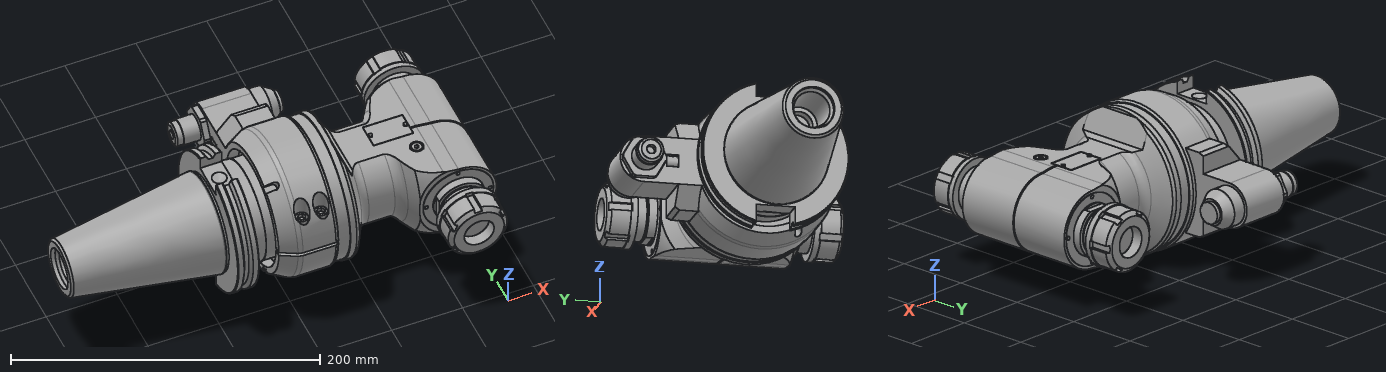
import cadquery as cq
import math


HUB_START = 41.5
HUB_RADIUS = 40.0
RING_START = 33.6
RING_END = 73.4
PIN_Y = 80.5
PIN_BORE_RADIUS = 9.0
SPINDLE_X = 160.0
SPINDLE_RADIUS = 16.0
HEAD_HALF_WIDTH = 45.0


def revolve_about_x(points):
    """Solid of revolution about the X axis from (x, radius) points, closed along the axis."""
    outline = [(points[0][0], 0)] + points
    if points[-1][1] > 0:
        outline.append((points[-1][0], 0))
    return cq.Workplane("XY").polyline(outline).close().revolve(360, (0, 0, 0), (1, 0, 0))


def cylinder(start, direction, radius, length):
    """Solid cylinder from its start point along a direction."""
    return cq.Workplane(cq.Solid.makeCylinder(radius, length, cq.Vector(*start), cq.Vector(*direction)))


def box(x_range, y_range, z_range):
    """Block between the given limits."""
    size = [high - low for low, high in (x_range, y_range, z_range)]
    return cq.Workplane("XY").box(*size, centered=False).translate((x_range[0], y_range[0], z_range[0]))


TAPER_LENGTH = 101.75
TAPER_RADIUS = 69.85 / 2
TAPER_SLOPE = 7 / 48
TAPER_END_CHAMFER = 1.5
RELIEF_RADIUS = 34.3
RELIEF_START = 1.2
FLANGE_START = 3.0
FLANGE_END = 18.2
FLANGE_RADIUS = 48.75
FLANGE_CHAMFER = 0.6
GROOVE_TOP = (7.3, 13.8)
GROOVE_FLOOR = (9.0, 12.1)
GROOVE_RADIUS = 45.7
SHANK_RADIUS = 35.0
COLLAR_START = 29.0
COLLAR_RADIUS = 34.6
NOTCH_HALF_WIDTH = 12.85
TOP_NOTCH_FLOOR = 38.0
BOTTOM_NOTCH_FLOOR = 35.2
DIMPLE_X = 11.0
DIMPLE_RADIUS = 5.0
DIMPLE_DEPTH = 3.0
DRAWBAR_BORE = [(14.0, 0.0), (14.0, 3.0), (12.0, 5.0), (12.0, 40.0), (9.0, 40.0), (9.0, 48.0),
                (5.0, 48.0), (5.0, 60.0), (0.0, 63.0)]


def make_arbor():
    small_radius = TAPER_RADIUS - TAPER_LENGTH * TAPER_SLOPE
    chamfer_end = -TAPER_LENGTH + TAPER_END_CHAMFER
    arbor = revolve_about_x([
        (-TAPER_LENGTH, small_radius - TAPER_END_CHAMFER),
        (chamfer_end, small_radius + TAPER_END_CHAMFER * TAPER_SLOPE),
        (0, TAPER_RADIUS),
        (RELIEF_START, TAPER_RADIUS),
        (RELIEF_START, RELIEF_RADIUS),
        (FLANGE_START, RELIEF_RADIUS),
        (FLANGE_START, FLANGE_RADIUS - FLANGE_CHAMFER),
        (FLANGE_START + FLANGE_CHAMFER, FLANGE_RADIUS),
        (GROOVE_TOP[0], FLANGE_RADIUS),
        (GROOVE_FLOOR[0], GROOVE_RADIUS),
        (GROOVE_FLOOR[1], GROOVE_RADIUS),
        (GROOVE_TOP[1], FLANGE_RADIUS),
        (FLANGE_END - FLANGE_CHAMFER, FLANGE_RADIUS),
        (FLANGE_END, FLANGE_RADIUS - FLANGE_CHAMFER),
        (FLANGE_END, SHANK_RADIUS),
        (COLLAR_START, SHANK_RADIUS),
        (COLLAR_START, COLLAR_RADIUS),
        (HUB_START, COLLAR_RADIUS),
    ])
    arbor = arbor.cut(revolve_about_x([(-TAPER_LENGTH + depth, radius) for radius, depth in DRAWBAR_BORE]))
    notch_x = (FLANGE_START, FLANGE_END)
    notch_y = (-NOTCH_HALF_WIDTH, NOTCH_HALF_WIDTH)
    arbor = arbor.cut(box(notch_x, notch_y, (TOP_NOTCH_FLOOR, FLANGE_RADIUS)))
    arbor = arbor.cut(box(notch_x, notch_y, (-FLANGE_RADIUS, -BOTTOM_NOTCH_FLOOR)))
    dimple = cq.Solid.makeCone(
        0, DIMPLE_RADIUS, DIMPLE_DEPTH, cq.Vector(DIMPLE_X, 0, TOP_NOTCH_FLOOR - DIMPLE_DEPTH), cq.Vector(0, 0, 1)
    )
    return arbor.cut(cq.Workplane(dimple))


RING_RADIUS = 51.0
RING_FRONT_RADIUS = 44.6
CONE_END = (44.5, 50.2)
CYLINDER_START = 47.8
CYLINDER_END = 71.2
RING_BACK_RADIUS = 49.9
ARM_END = 68.5
ARM_HALF_HEIGHT = 15.5
WING_OUTER_Y = 57.2
WING_HALF_HEIGHT = 29.4
WING_SLOPE_END = 45.5
WING_CHAMFER_Y = 3.5
WING_CHAMFER_Z = 1.5
ROD_RADIUS = 4.0
ROD_Y = (45.0, 65.0)
SLIT_HALF_WIDTH = 1.3
SCREW_X = (51.3, 64.8)
SCREW_Y = -41.0
SCREW_HOLE_RADIUS = 5.2
SCREW_FLOOR_Z = 19.0
SCREW_HEAD_RADIUS = 4.2
SCREW_HEAD_Z = 24.0
SCREW_SHANK_RADIUS = 3.0
SCREW_SOCKET = 5.8
SCREW_SOCKET_DEPTH = 3.0
KEYWAY_ANGLE = 30
KEYWAY_RADIUS = 2.5
KEYWAY_X = 39.8
KEYWAY_FLOOR = 42.0


def make_wings():
    """Block behind the arm: its front slopes away above and below the arm."""
    outline = [(RING_START, ARM_HALF_HEIGHT), (WING_SLOPE_END, WING_HALF_HEIGHT), (ARM_END, WING_HALF_HEIGHT)]
    mirrored = [(x, -z) for x, z in reversed(outline)]
    block = cq.Workplane("XZ").polyline(outline + mirrored).close().extrude(-WING_OUTER_Y)
    edge_y = WING_OUTER_Y - WING_CHAMFER_Y
    edge_z = WING_HALF_HEIGHT - WING_CHAMFER_Z
    section = cq.Workplane("YZ", origin=(RING_START, 0, 0)).polyline([
        (0, -WING_HALF_HEIGHT), (edge_y, -WING_HALF_HEIGHT), (WING_OUTER_Y, -edge_z),
        (WING_OUTER_Y, edge_z), (edge_y, WING_HALF_HEIGHT), (0, WING_HALF_HEIGHT),
    ]).close().extrude(ARM_END - RING_START)
    return block.intersect(section)


def make_arm():
    arm_x = (RING_START, ARM_END)
    arm = box(arm_x, (0, PIN_Y), (-ARM_HALF_HEIGHT, ARM_HALF_HEIGHT))
    arm = arm.union(cylinder((RING_START, PIN_Y, 0), (1, 0, 0), ARM_HALF_HEIGHT, ARM_END - RING_START))
    arm = arm.cut(cylinder((RING_START, PIN_Y, 0), (1, 0, 0), PIN_BORE_RADIUS, ARM_END - RING_START))
    rod_x = RING_START + ROD_RADIUS
    arm = arm.cut(box((RING_START, rod_x), ROD_Y, (-ROD_RADIUS, ROD_RADIUS)))
    return arm.union(cylinder((rod_x, ROD_Y[0], 0), (0, 1, 0), ROD_RADIUS, ROD_Y[1] - ROD_Y[0]))


def cut_keyway(ring, angle):
    """Round-ended slot sunk radially into the front cone."""
    depth = RING_RADIUS - KEYWAY_FLOOR
    slot = cylinder((KEYWAY_X, 0, KEYWAY_FLOOR), (0, 0, 1), KEYWAY_RADIUS, depth)
    slot = slot.union(box((RING_START, KEYWAY_X), (-KEYWAY_RADIUS, KEYWAY_RADIUS), (KEYWAY_FLOOR, RING_RADIUS)))
    return ring.cut(slot.rotate((0, 0, 0), (1, 0, 0), angle))


def add_clamp_screw(ring, x):
    """Counterbore for a clamp screw, with the screw head and the shank across the slit."""
    ring = ring.cut(cylinder((x, SCREW_Y, SCREW_FLOOR_Z), (0, 0, 1), SCREW_HOLE_RADIUS, RING_RADIUS))
    head = cylinder((x, SCREW_Y, SCREW_FLOOR_Z), (0, 0, 1), SCREW_HEAD_RADIUS, SCREW_HEAD_Z - SCREW_FLOOR_Z)
    socket = cq.Workplane("XY", origin=(x, SCREW_Y, SCREW_HEAD_Z)).polygon(6, SCREW_SOCKET)
    head = head.cut(socket.extrude(-SCREW_SOCKET_DEPTH))
    shank_start = (x, SCREW_Y - SCREW_SHANK_RADIUS, -SLIT_HALF_WIDTH)
    shank = cylinder(shank_start, (0, 0, 1), SCREW_SHANK_RADIUS, 2 * SLIT_HALF_WIDTH)
    return ring.union(head).union(shank)


def make_clamp_ring():
    ring = revolve_about_x([
        (RING_START, RING_FRONT_RADIUS), CONE_END, (CYLINDER_START, RING_RADIUS), (CYLINDER_END, RING_RADIUS),
        (RING_END, RING_BACK_RADIUS),
    ])
    ring = ring.union(make_wings()).union(make_arm())
    ring = ring.cut(cylinder((RING_START, 0, 0), (1, 0, 0), HUB_RADIUS, RING_END - RING_START))
    for angle in (KEYWAY_ANGLE, 180 - KEYWAY_ANGLE):
        ring = cut_keyway(ring, angle)
    slit_z = (-SLIT_HALF_WIDTH, SLIT_HALF_WIDTH)
    ring = ring.cut(box((RING_START, RING_END), (-RING_RADIUS, -HUB_RADIUS + 1), slit_z))
    for x in SCREW_X:
        ring = add_clamp_screw(ring, x)
    return ring


PIN_TIP_X = 12.2
PIN_TIP_RADIUS = 6.5
PIN_SHOULDER_RADIUS = 8.4
PIN_SHOULDER_X = 13.2
PIN_NECK_X = 17.4
HEX_START = 29.2
HEX_ACROSS_FLATS = 26.0
HEX_CORNER_RADIUS = 14.4
CAP_RADIUS = 13.5
CAP_CONE_START = 78.0
CAP_CONE_END = (85.2, 9.0)
CAP_TIP = (88.0, 7.5)
PIN_SOCKET_RADIUS = 3.0
PIN_SOCKET_DEPTH = 4.0


def make_locating_pin():
    pin = revolve_about_x([
        (PIN_TIP_X, PIN_TIP_RADIUS),
        (PIN_SHOULDER_X, PIN_SHOULDER_RADIUS),
        (PIN_NECK_X, PIN_SHOULDER_RADIUS),
        (PIN_NECK_X, PIN_BORE_RADIUS),
        (ARM_END, PIN_BORE_RADIUS),
        (ARM_END, CAP_RADIUS),
        (CAP_CONE_START, CAP_RADIUS),
        CAP_CONE_END,
        (CAP_CONE_END[0], CAP_TIP[1]),
        CAP_TIP,
    ])
    hex_length = RING_START - HEX_START
    across_corners = HEX_ACROSS_FLATS / math.cos(math.pi / 6)
    hexagon = cq.Workplane("YZ", origin=(HEX_START, 0, 0)).polygon(6, across_corners).extrude(hex_length)
    hexagon = hexagon.intersect(cylinder((HEX_START, 0, 0), (1, 0, 0), HEX_CORNER_RADIUS, hex_length))
    pin = pin.union(hexagon)
    pin = pin.cut(cylinder((PIN_TIP_X, 0, 0), (1, 0, 0), PIN_SOCKET_RADIUS, PIN_SOCKET_DEPTH))
    return pin.translate((0, PIN_Y, 0))


HUB_FLANGE_RADIUS = 49.2
RIM_START = 81.8
RIM_RADIUS = 50.2
RIM_END = 86.2
SHOULDER = (88.6, 49.0)
NECK_CONE_END = (95.5, 36.2)
NECK_ARC_MID = (98.0, 33.3)
NECK_START = 102.5
NECK_RADIUS = 32.0
NECK_END = 120.8
FLARE_ARC_MID = (124.7, 33.7)
FLARE_CONE_START = (127.6, 37.3)
FLARE_CONE_END = (133.2, 45.8)
CROWN_MID = (138.0, 48.9)
CROWN_END = (152.0, 53.0)
HEAD_HALF_HEIGHT = 28.4
HEAD_END_RADIUS = 26.95
FLAT_SLOPE_START = (86.0, 48.0)
FLAT_SLOPE_END = (93.0, 31.0)
FLAT_START = 96.3
FLAT_END = 149.5
PLATE_X = (117.6, 145.6)
PLATE_Y = (-5.0, 12.6)
PLATE_DEPTH = 0.3
RIVET_X = (119.2, 143.8)
RIVET_Y = 3.8
RIVET_RADIUS = 1.3
RIVET_HEIGHT = 0.7
PLUG_CENTER = (142.8, -17.0)
PLUG_HOLE_RADIUS = 4.5
PLUG_RADIUS = 3.6
PLUG_DEPTH = 5.0
PLUG_SOCKET = 3.0
MARK_WIDTH = 0.6
MARK_DEPTH = 0.4
FACE_RECESS_RADIUS = 24.8
FACE_RECESS_DEPTH = 0.3
FACE_HOLE_CIRCLE = 22.5
FACE_HOLE_RADIUS = 1.25
FACE_HOLE_DEPTH = 4.0


def head_side_outline(inset):
    """Closed X-Z outline of the head: sloped shoulders, flats and a round end, shrunk by an inset."""
    top = HEAD_HALF_HEIGHT - inset
    end_radius = HEAD_END_RADIUS - inset
    return (
        cq.Workplane("XZ")
        .moveTo(HUB_START, -RIM_RADIUS)
        .lineTo(HUB_START, RIM_RADIUS)
        .lineTo(FLAT_SLOPE_START[0], RIM_RADIUS)
        .lineTo(*FLAT_SLOPE_START)
        .lineTo(*FLAT_SLOPE_END)
        .lineTo(FLAT_START, top)
        .lineTo(FLAT_END, top)
        .lineTo(SPINDLE_X, end_radius)
        .threePointArc((SPINDLE_X + end_radius, 0), (SPINDLE_X, -end_radius))
        .lineTo(FLAT_END, -top)
        .lineTo(FLAT_START, -top)
        .lineTo(FLAT_SLOPE_END[0], -FLAT_SLOPE_END[1])
        .lineTo(FLAT_SLOPE_START[0], -FLAT_SLOPE_START[1])
        .lineTo(FLAT_SLOPE_START[0], -RIM_RADIUS)
        .close()
    )


def make_head_blank():
    """Turned contour of the head, trimmed to its side outline and its spindle faces."""
    end_x = SPINDLE_X + HEAD_END_RADIUS
    turned = (
        cq.Workplane("XY")
        .moveTo(HUB_START, 0)
        .lineTo(HUB_START, HUB_RADIUS)
        .lineTo(RING_END, HUB_RADIUS)
        .lineTo(RING_END, HUB_FLANGE_RADIUS)
        .lineTo(RIM_START, HUB_FLANGE_RADIUS)
        .lineTo(RIM_START, RIM_RADIUS)
        .lineTo(RIM_END, RIM_RADIUS)
        .lineTo(*SHOULDER)
        .lineTo(*NECK_CONE_END)
        .threePointArc(NECK_ARC_MID, (NECK_START, NECK_RADIUS))
        .lineTo(NECK_END, NECK_RADIUS)
        .threePointArc(FLARE_ARC_MID, FLARE_CONE_START)
        .lineTo(*FLARE_CONE_END)
        .threePointArc(CROWN_MID, CROWN_END)
        .lineTo(end_x, CROWN_END[1])
        .lineTo(end_x, 0)
        .close()
        .revolve(360, (0, 0, 0), (1, 0, 0))
    )
    side = head_side_outline(0).extrude(RIM_RADIUS, both=True)
    head = turned.intersect(side)
    for y in (HEAD_HALF_WIDTH, -HEAD_HALF_WIDTH - RIM_RADIUS):
        head = head.cut(box((NECK_END, end_x), (y, y + RIM_RADIUS), (-RIM_RADIUS, RIM_RADIUS)))
    return head


def add_name_plate(head):
    """Sunk name plate on the upper flat with two rivets."""
    floor = HEAD_HALF_HEIGHT - PLATE_DEPTH
    head = head.cut(box(PLATE_X, PLATE_Y, (floor, HEAD_HALF_HEIGHT)))
    for x in RIVET_X:
        head = head.union(cylinder((x, RIVET_Y, floor), (0, 0, 1), RIVET_RADIUS, PLATE_DEPTH + RIVET_HEIGHT))
    return head


def add_plug(head):
    """Screw plug in the upper flat, standing in a wider hole."""
    floor = (*PLUG_CENTER, HEAD_HALF_HEIGHT - PLUG_DEPTH)
    head = head.cut(cylinder(floor, (0, 0, 1), PLUG_HOLE_RADIUS, PLUG_DEPTH))
    plug = cylinder(floor, (0, 0, 1), PLUG_RADIUS, PLUG_DEPTH)
    socket = cq.Workplane("XY", origin=floor).polygon(6, PLUG_SOCKET).extrude(PLUG_DEPTH)
    return head.union(plug.cut(socket))


def cut_spindle_face(head, side):
    """Shallow round recess and four small holes in the face at one end of the spindle."""
    direction = (0, -side, 0)
    face_y = side * HEAD_HALF_WIDTH
    head = head.cut(cylinder((SPINDLE_X, face_y, 0), direction, FACE_RECESS_RADIUS, FACE_RECESS_DEPTH))
    for index in range(4):
        angle = index * math.pi / 2
        x = SPINDLE_X + FACE_HOLE_CIRCLE * math.cos(angle)
        z = FACE_HOLE_CIRCLE * math.sin(angle)
        head = head.cut(cylinder((x, face_y, z), direction, FACE_HOLE_RADIUS, FACE_HOLE_DEPTH))
    return head


def make_head():
    head = make_head_blank()
    mark = head_side_outline(0).extrude(MARK_WIDTH / 2, both=True)
    mark = mark.cut(head_side_outline(MARK_DEPTH).extrude(MARK_WIDTH / 2, both=True))
    mark_x = (PLATE_X[1], SPINDLE_X + HEAD_END_RADIUS)
    mark_zone = box(mark_x, (-MARK_WIDTH, MARK_WIDTH), (-RIM_RADIUS, RIM_RADIUS))
    head = head.cut(mark.intersect(mark_zone))
    head = add_name_plate(head)
    head = add_plug(head)
    for side in (1, -1):
        head = cut_spindle_face(head, side)
    bore_start = (SPINDLE_X, -HEAD_HALF_WIDTH, 0)
    return head.cut(cylinder(bore_start, (0, 1, 0), SPINDLE_RADIUS, 2 * HEAD_HALF_WIDTH))


COLLAR_END = 50.8
SPINDLE_COLLAR_RADIUS = 18.0
WRENCH_FLAT_START = 46.0
NOSE_GROOVE_END = 51.6
NOSE_GROOVE_RADIUS = 15.5
NUT_START = 58.8
NUT_RIM_END = 63.3
NUT_RIM_RADIUS = 21.4
NUT_RADIUS = 20.8
NUT_END = 78.75
NUT_CHAMFER_START = 76.2
NUT_FACE_RADIUS = 17.6
NUT_BORE_RADIUS = 10.5
NUT_BORE_DEPTH = 8.0
NUT_SLOT_COUNT = 6
NUT_SLOT_HALF_WIDTH = 2.5
NUT_SLOT_START = 62.5
NUT_SLOT_FLOOR = 18.6


def make_spindle_end():
    """Half of the spindle, built along +X from the middle of the head."""
    end = revolve_about_x([
        (0, SPINDLE_RADIUS),
        (HEAD_HALF_WIDTH, SPINDLE_RADIUS),
        (HEAD_HALF_WIDTH, SPINDLE_COLLAR_RADIUS),
        (COLLAR_END, SPINDLE_COLLAR_RADIUS),
        (COLLAR_END, NOSE_GROOVE_RADIUS),
        (NOSE_GROOVE_END, NOSE_GROOVE_RADIUS),
        (NOSE_GROOVE_END, SPINDLE_RADIUS),
        (NUT_START, SPINDLE_RADIUS),
        (NUT_START, NUT_RIM_RADIUS),
        (NUT_RIM_END, NUT_RIM_RADIUS),
        (NUT_RIM_END, NUT_RADIUS),
        (NUT_CHAMFER_START, NUT_RADIUS),
        (NUT_END, NUT_FACE_RADIUS),
    ])
    end = end.cut(cylinder((NUT_END, 0, 0), (-1, 0, 0), NUT_BORE_RADIUS, NUT_BORE_DEPTH))
    flat_x = (WRENCH_FLAT_START, COLLAR_END)
    span = (-SPINDLE_COLLAR_RADIUS, SPINDLE_COLLAR_RADIUS)
    end = end.cut(box(flat_x, span, (SPINDLE_RADIUS, SPINDLE_COLLAR_RADIUS)))
    end = end.cut(box(flat_x, span, (-SPINDLE_COLLAR_RADIUS, -SPINDLE_RADIUS)))
    slot_y = (-NUT_SLOT_HALF_WIDTH, NUT_SLOT_HALF_WIDTH)
    slot = box((NUT_SLOT_START, NUT_END), slot_y, (NUT_SLOT_FLOOR, NUT_RIM_RADIUS))
    for index in range(NUT_SLOT_COUNT):
        angle = (index + 0.5) * 360 / NUT_SLOT_COUNT
        end = end.cut(slot.rotate((0, 0, 0), (1, 0, 0), angle))
    return end


def make_spindle():
    """The two ends, turned a quarter turn to each other."""
    rear = make_spindle_end().rotate((0, 0, 0), (0, 0, 1), 90)
    front = make_spindle_end().rotate((0, 0, 0), (1, 0, 0), 90).rotate((0, 0, 0), (0, 0, 1), -90)
    return rear.union(front).translate((SPINDLE_X, 0, 0))


arbor = make_arbor()
clamp_ring = make_clamp_ring()
locating_pin = make_locating_pin()
head = make_head()
spindle = make_spindle()

result = cq.Compound.makeCompound(
    [arbor.val(), clamp_ring.val(), locating_pin.val(), head.val(), spindle.val()]
)